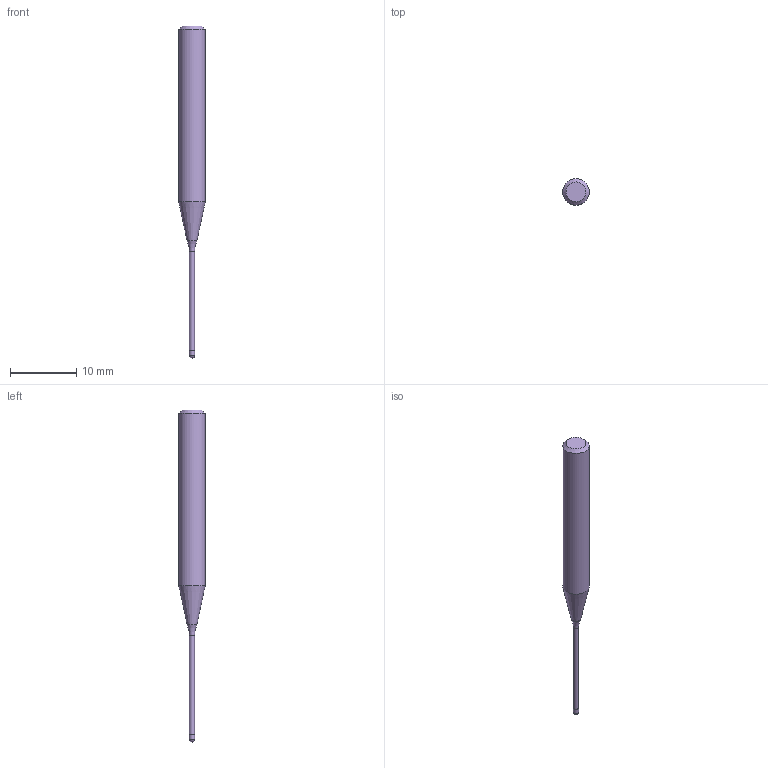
import cadquery as cq
import math

overall_length = 50.0
shank_radius = 2.0
end_chamfer = 0.5
cone_top = 23.55

ball_radius = 0.4
head_length = 1.2
neck_radius = 0.38
neck_top = 16.0
flare_arc_radius = 4.0
flare_length = 1.65

cone_bottom = neck_top + flare_length


def flare_radius(height):
    """Radius of the flare at a height above the top of the neck."""
    return neck_radius + flare_arc_radius - math.sqrt(flare_arc_radius**2 - height**2)


def make_cutting_head():
    """Short ball-nosed cylinder at the lower end."""
    ball_middle = ball_radius * math.sqrt(0.5)
    return (
        cq.Workplane("XZ")
        .moveTo(0, 0)
        .threePointArc((ball_middle, ball_radius - ball_middle), (ball_radius, ball_radius))
        .lineTo(ball_radius, head_length)
        .lineTo(0, head_length)
        .close()
        .revolve(360, (0, 0), (0, 1))
    )


def make_shank():
    """Slim neck, concave flare, cone and chamfered cylindrical shank."""
    return (
        cq.Workplane("XZ")
        .moveTo(0, head_length)
        .lineTo(neck_radius, head_length)
        .lineTo(neck_radius, neck_top)
        .threePointArc(
            (flare_radius(flare_length / 2), neck_top + flare_length / 2),
            (flare_radius(flare_length), cone_bottom),
        )
        .lineTo(shank_radius, cone_top)
        .lineTo(shank_radius, overall_length - end_chamfer)
        .lineTo(shank_radius - end_chamfer, overall_length)
        .lineTo(0, overall_length)
        .close()
        .revolve(360, (0, 0), (0, 1))
    )


cutting_head = make_cutting_head()
shank = make_shank()
result = cq.Compound.makeCompound([cutting_head.val(), shank.val()])